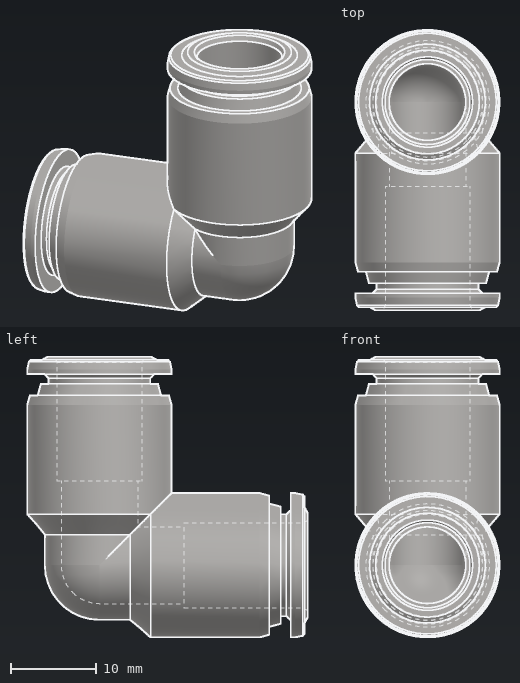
import cadquery as cq

overall_length = 33.0
body_diameter = 17.0
body_radius = body_diameter / 2
arm_length = overall_length - body_radius

elbow_radius = 6.45
bore_radius = 9.0 / 2

cone_start = 3.6
body_start = 6.0
body_taper_start = 18.85
body_end = 19.95
body_end_radius = 8.2

sleeve_base_radius = 7.25
sleeve_end = 21.32
sleeve_end_radius = 6.9

neck_radius = 12.0 / 2
neck_flare_start = 21.98
neck_flare_radius = 6.47
flange_start = 22.47
flange_taper_start = 23.0
flange_bevel_start = 23.9
flange_bevel_radius = 8.3
flange_end = 24.12
flange_end_radius = 8.1
lip_base_radius = 6.8
lip_end_radius = 6.1

socket_radius = 10.0 / 2
socket_floor = 9.9
mouth_radius = 5.3
mouth_depth = 0.63


def revolve_about_z(outline):
    """Revolve a closed (radius, height) outline about the Z axis."""
    return cq.Workplane("XZ").polyline(outline).close().revolve(360, (0, 0), (0, 1))


def arm_exterior():
    """Solid upright arm: elbow leg, socket body, sleeve and release collar."""
    return revolve_about_z([
        (0, 0),
        (elbow_radius, 0),
        (elbow_radius, cone_start),
        (body_radius, body_start),
        (body_radius, body_taper_start),
        (body_end_radius, body_end),
        (sleeve_base_radius, body_end),
        (sleeve_end_radius, sleeve_end),
        (neck_radius, sleeve_end),
        (neck_radius, neck_flare_start),
        (neck_flare_radius, flange_start),
        (body_radius, flange_start),
        (body_radius, flange_taper_start),
        (flange_bevel_radius, flange_bevel_start),
        (flange_end_radius, flange_end),
        (lip_base_radius, flange_end),
        (lip_end_radius, arm_length),
        (0, arm_length),
    ])


def arm_cavity():
    """Upright flow bore widening into the tube socket and flared mouth."""
    return revolve_about_z([
        (0, 0),
        (bore_radius, 0),
        (bore_radius, socket_floor),
        (socket_radius, socket_floor),
        (socket_radius, arm_length - mouth_depth),
        (mouth_radius, arm_length),
        (0, arm_length),
    ])


def make_elbow(arm, corner_radius):
    """Join an upright arm and its copy along -Y with a spherical corner."""
    level_arm = arm.rotate((0, 0, 0), (1, 0, 0), 90)
    corner = cq.Workplane("XY").sphere(corner_radius)
    return arm.union(level_arm).union(corner)


exterior = make_elbow(arm_exterior(), elbow_radius)
cavity = make_elbow(arm_cavity(), bore_radius)
result = exterior.cut(cavity)